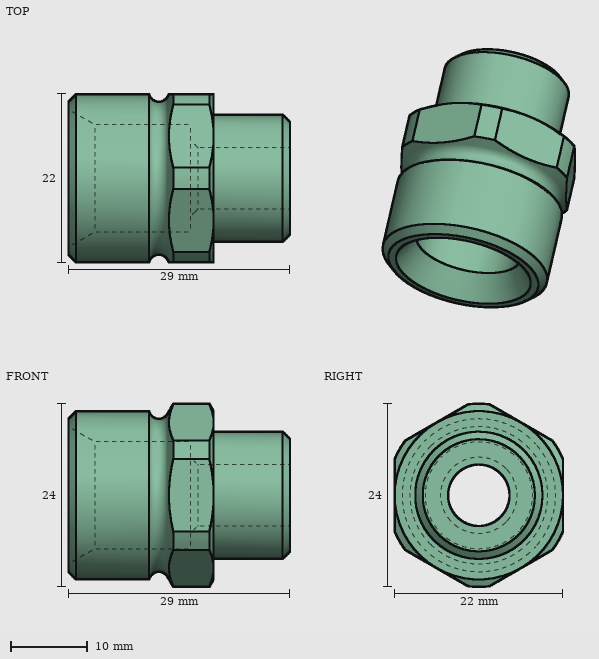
import cadquery as cq
import math

length = 29.0
end_chamfer = 1.0

large_radius = 22.0 / 2
large_length = 10.55
groove_radius = 1.3
groove_floor_radius = large_radius - 1.0

across_flats = 22.0
corner_radius = 23.98 / 2
collar_end = 19.0
corner_angle = math.radians(60)

small_radius = 16.65 / 2

mouth_radius = 18.0 / 2
socket_radius = 14.0 / 2
mouth_depth = 3.48
socket_depth = 15.95
bore_radius = 8.0 / 2
bore_chamfer = 1.0

groove_center_r = groove_floor_radius + groove_radius
groove_rise = groove_center_r - large_radius
groove_center_x = large_length + math.sqrt(groove_radius**2 - groove_rise**2)
cone_start_x = groove_center_x + groove_radius * math.sin(corner_angle)
cone_start_r = groove_center_r - groove_radius * math.cos(corner_angle)
cone_end_x = cone_start_x + (corner_radius - cone_start_r) / math.tan(corner_angle)
corner_chamfer = (corner_radius - across_flats / 2) / math.tan(corner_angle)


def revolve_about_x(profile):
    return profile.close().revolve(360, (0, 0, 0), (1, 0, 0))


def make_spigots():
    profile = (
        cq.Workplane("XY")
        .lineTo(0, large_radius - end_chamfer)
        .lineTo(end_chamfer, large_radius)
        .lineTo(large_length, large_radius)
        .threePointArc((groove_center_x, groove_floor_radius), (cone_start_x, cone_start_r))
        .lineTo(cone_start_x, small_radius)
        .lineTo(length - end_chamfer, small_radius)
        .lineTo(length, small_radius - end_chamfer)
        .lineTo(length, 0)
    )
    return revolve_about_x(profile)


def make_collar():
    turned = revolve_about_x(
        cq.Workplane("XY")
        .moveTo(cone_start_x, 0)
        .lineTo(cone_start_x, cone_start_r)
        .lineTo(cone_end_x, corner_radius)
        .lineTo(collar_end - corner_chamfer, corner_radius)
        .lineTo(collar_end, across_flats / 2)
        .lineTo(collar_end, 0)
    )
    hexagon = (
        cq.Workplane("YZ")
        .polygon(6, across_flats, circumscribed=True)
        .extrude(length)
    )
    return turned.intersect(hexagon)


def make_bores():
    profile = (
        cq.Workplane("XY")
        .lineTo(0, mouth_radius)
        .lineTo(mouth_depth, socket_radius)
        .lineTo(socket_depth, socket_radius)
        .lineTo(socket_depth, bore_radius + bore_chamfer)
        .lineTo(socket_depth + bore_chamfer, bore_radius)
        .lineTo(length, bore_radius)
        .lineTo(length, 0)
    )
    return revolve_about_x(profile)


result = make_spigots().union(make_collar()).cut(make_bores())